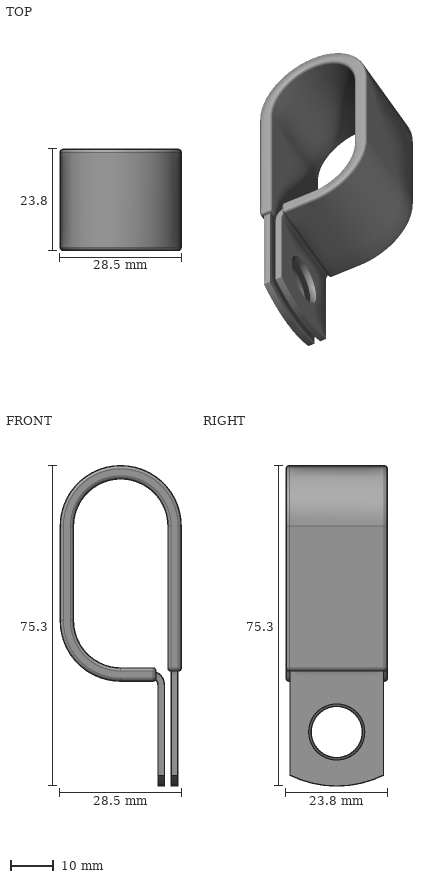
import cadquery as cq
import math

height = 75.35
outer_radius = 14.25
strap_thickness = 1.6
cushion_cover = 0.79
cushion_width = 23.8
strap_width = 22.0
upper_center_z = height - outer_radius
lower_center_z = 38.9
cushion_floor_end_x = 8.3
edge_fillet = 0.75

tab_gap = 1.6
bend_inner_radius = 1.6
front_hole_diameter = 12.0
rear_hole_diameter = 13.2
hole_z = 12.7
tip_rise = 2.55

wall = strap_thickness + 2 * cushion_cover
strap_outer_radius = outer_radius - cushion_cover
strap_top_z = lower_center_z - strap_outer_radius + strap_thickness
cushion_side_end_z = strap_top_z
front_tab_outer_x = strap_outer_radius - strap_thickness - tab_gap
bend_outer_radius = bend_inner_radius + strap_thickness
bend_x = front_tab_outer_x - bend_outer_radius
bend_z = strap_top_z - bend_outer_radius


def loop_outline(radius, thickness, floor_end_x, side_end_z, bent_tab=False):
    """Band running up the +X side, over the top and around to the floor."""
    inner = radius - thickness
    diagonal = math.sqrt(0.5)
    floor_bottom_z = lower_center_z - radius
    floor_top_z = floor_bottom_z + thickness
    outline = (
        cq.Workplane("XZ")
        .moveTo(radius, side_end_z)
        .lineTo(radius, upper_center_z)
        .threePointArc((0, upper_center_z + radius), (-radius, upper_center_z))
        .lineTo(-radius, lower_center_z)
        .threePointArc((-radius * diagonal, lower_center_z - radius * diagonal), (0, floor_bottom_z))
        .lineTo(floor_end_x, floor_bottom_z)
    )
    if bent_tab:
        outline = (
            outline
            .threePointArc(
                (bend_x + bend_inner_radius * diagonal, bend_z + bend_inner_radius * diagonal),
                (bend_x + bend_inner_radius, bend_z),
            )
            .lineTo(bend_x + bend_inner_radius, 0)
            .lineTo(front_tab_outer_x, 0)
            .lineTo(front_tab_outer_x, bend_z)
            .threePointArc(
                (bend_x + bend_outer_radius * diagonal, bend_z + bend_outer_radius * diagonal),
                (bend_x, floor_top_z),
            )
        )
    else:
        outline = outline.lineTo(floor_end_x, floor_top_z)
    return (
        outline
        .lineTo(0, floor_top_z)
        .threePointArc((-inner * diagonal, lower_center_z - inner * diagonal), (-inner, lower_center_z))
        .lineTo(-inner, upper_center_z)
        .threePointArc((0, upper_center_z + inner), (inner, upper_center_z))
        .lineTo(inner, side_end_z)
        .close()
    )


def make_cushion():
    band = loop_outline(outer_radius, wall, cushion_floor_end_x, cushion_side_end_z)
    body = band.extrude(cushion_width / 2, both=True)
    end_edges = body.edges(cq.selectors.BoxSelector(
        (cushion_floor_end_x - edge_fillet, -cushion_width, 0),
        (outer_radius + edge_fillet, cushion_width, strap_top_z + cushion_cover + edge_fillet),
    )).edges("|Y")
    return end_edges.add(body.faces("<Y or >Y").edges()).fillet(edge_fillet)


def make_strap():
    band = loop_outline(strap_outer_radius, strap_thickness, bend_x, 0, bent_tab=True)
    body = band.extrude(strap_width / 2, both=True)
    silhouette = (
        cq.Workplane("YZ")
        .moveTo(-strap_width / 2, tip_rise)
        .threePointArc((0, 0), (strap_width / 2, tip_rise))
        .lineTo(strap_width / 2, height)
        .lineTo(-strap_width / 2, height)
        .close()
        .extrude(outer_radius, both=True)
    )
    strap = body.intersect(silhouette)
    strap = strap.cut(tab_hole(front_hole_diameter, front_tab_outer_x))
    return strap.cut(tab_hole(rear_hole_diameter, strap_outer_radius))


def tab_hole(diameter, tab_outer_x):
    """Cutter through the tab whose +X face is at tab_outer_x."""
    return (
        cq.Workplane("YZ", origin=(tab_outer_x, 0, hole_z))
        .circle(diameter / 2)
        .extrude(-strap_thickness)
    )


result = make_cushion().union(make_strap())